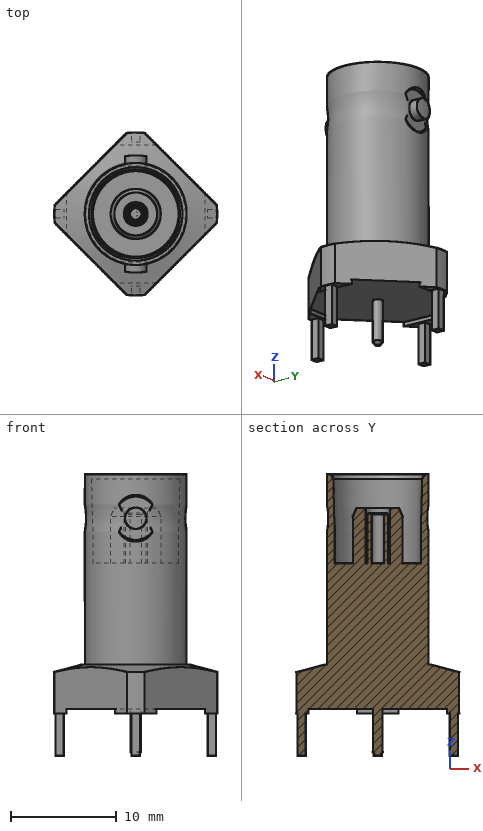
import cadquery as cq
import math

TOP_Z = 26.6
BASE_BOTTOM_Z = 4.0
BASE_TOP_Z = 8.65

BASE_SIDE = 12.0
BASE_TURN_ANGLE = 45.0
BASE_SPAN = 15.4
BASE_CORNER_RADIUS = BASE_SPAN / 2
BASE_CONE_TOP_RADIUS = 5.0
BASE_CONE_ANGLE = 15.0
RECESS_SIDE = 13.03
RECESS_DEPTH = 0.43

PIN_COUNT = 4
PIN_SIDE = 0.8
PIN_RADIAL_POSITION = 7.18
TAIL_RADIUS = 0.48
TAIL_TIP_RADIUS = 0.2
TAIL_TIP_HEIGHT = 0.35

BARREL_RADIUS = 4.81
GROOVE_MID_Z = 22.42
GROOVE_HALF_WIDTH = 1.28
GROOVE_DEPTH = 0.12

LUG_RADIUS = 1.0
LUG_REACH = 5.53
SPOT_FLOOR_Y = 4.55
SPOT_FLOOR_RADIUS = 2.05
SPOT_RIM_RADIUS = 2.2

MOUTH_RADIUS = 4.42
MOUTH_CHAMFER_RADIUS = 4.18
MOUTH_CHAMFER_DEPTH = 0.45
BORE_RADIUS = 4.05
BORE_TAPER_END_Z = 21.1
BORE_FLOOR_Z = 18.2

POST_RADIUS = 2.37
POST_TOP_RADIUS = 2.02
POST_TOP_Z = 23.4
POST_CHAMFER_HEIGHT = 0.8
POST_HOLE_RADIUS = 1.12
CONTACT_RADIUS = 0.98
CONTACT_TIP_RADIUS = 0.88
CONTACT_HOLE_RADIUS = 0.55
CONTACT_COUNTERSINK_RADIUS = 0.72
CONTACT_TIP_HEIGHT = 0.15
CONTACT_TOP_Z = 22.93


def cylinder(radius, bottom_z, top_z):
    """Upright cylinder on the Z axis."""
    return cq.Workplane("XY").workplane(offset=bottom_z).circle(radius).extrude(top_z - bottom_z)


def turned(points):
    """Solid of revolution about Z from (radius, z) points."""
    return cq.Workplane("XZ").polyline(points).close().revolve(360, (0, 0), (0, 1))


def make_base():
    cone_drop = (BASE_CORNER_RADIUS - BASE_CONE_TOP_RADIUS) * math.tan(math.radians(BASE_CONE_ANGLE))
    envelope = turned([
        (0, BASE_BOTTOM_Z),
        (BASE_CORNER_RADIUS, BASE_BOTTOM_Z),
        (BASE_CORNER_RADIUS, BASE_TOP_Z - cone_drop),
        (BASE_CONE_TOP_RADIUS, BASE_TOP_Z),
        (0, BASE_TOP_Z),
    ])
    height = BASE_TOP_Z - BASE_BOTTOM_Z
    block = cq.Workplane("XY").box(BASE_SIDE, BASE_SIDE, height, centered=(True, True, False))
    block = block.rotate((0, 0, 0), (0, 0, 1), BASE_TURN_ANGLE).translate((0, 0, BASE_BOTTOM_Z))
    recess = cq.Workplane("XY").box(RECESS_SIDE, RECESS_SIDE, RECESS_DEPTH, centered=(True, True, False))
    return block.intersect(envelope).cut(recess.translate((0, 0, BASE_BOTTOM_Z)))


def make_pins():
    pins = (
        cq.Workplane("XY")
        .polarArray(PIN_RADIAL_POSITION, 0, 360, PIN_COUNT)
        .rect(PIN_SIDE, PIN_SIDE)
        .extrude(BASE_BOTTOM_Z + RECESS_DEPTH)
    )
    tail = turned([
        (0, 0),
        (TAIL_TIP_RADIUS, 0),
        (TAIL_RADIUS, TAIL_TIP_HEIGHT),
        (TAIL_RADIUS, BASE_TOP_Z),
        (0, BASE_TOP_Z),
    ])
    return pins.union(tail)


def make_barrel():
    return (
        cq.Workplane("XZ")
        .moveTo(0, BASE_TOP_Z)
        .lineTo(BARREL_RADIUS, BASE_TOP_Z)
        .lineTo(BARREL_RADIUS, GROOVE_MID_Z - GROOVE_HALF_WIDTH)
        .threePointArc(
            (BARREL_RADIUS - GROOVE_DEPTH, GROOVE_MID_Z),
            (BARREL_RADIUS, GROOVE_MID_Z + GROOVE_HALF_WIDTH),
        )
        .lineTo(BARREL_RADIUS, TOP_Z)
        .lineTo(0, TOP_Z)
        .close()
        .revolve(360, (0, 0), (0, 1))
    )


def make_spot_face(side):
    """Tapered cutter for the lug seat; side is +1 for +Y and -1 for -Y."""
    depth = BARREL_RADIUS - SPOT_FLOOR_Y
    cutter = cq.Solid.makeCone(
        SPOT_FLOOR_RADIUS,
        SPOT_RIM_RADIUS,
        depth,
        cq.Vector(0, side * SPOT_FLOOR_Y, GROOVE_MID_Z),
        cq.Vector(0, side, 0),
    )
    return cq.Workplane(cutter)


def make_lugs():
    """Both lugs, with outer ends rounded about the barrel axis."""
    bar = (
        cq.Workplane("XZ", origin=(0, 0, GROOVE_MID_Z))
        .circle(LUG_RADIUS)
        .extrude(LUG_REACH, both=True)
    )
    return bar.intersect(cylinder(LUG_REACH, BASE_TOP_Z, TOP_Z))


def make_bore():
    return turned([
        (0, BORE_FLOOR_Z),
        (BORE_RADIUS, BORE_FLOOR_Z),
        (BORE_RADIUS, BORE_TAPER_END_Z),
        (MOUTH_CHAMFER_RADIUS, TOP_Z - MOUTH_CHAMFER_DEPTH),
        (MOUTH_RADIUS, TOP_Z),
        (0, TOP_Z),
    ])


def make_post():
    return turned([
        (POST_HOLE_RADIUS, BORE_FLOOR_Z),
        (POST_RADIUS, BORE_FLOOR_Z),
        (POST_RADIUS, POST_TOP_Z - POST_CHAMFER_HEIGHT),
        (POST_TOP_RADIUS, POST_TOP_Z),
        (POST_HOLE_RADIUS, POST_TOP_Z),
    ])


def make_contact():
    shoulder_z = CONTACT_TOP_Z - CONTACT_TIP_HEIGHT
    return turned([
        (CONTACT_HOLE_RADIUS, BORE_FLOOR_Z),
        (CONTACT_RADIUS, BORE_FLOOR_Z),
        (CONTACT_RADIUS, shoulder_z),
        (CONTACT_TIP_RADIUS, CONTACT_TOP_Z),
        (CONTACT_COUNTERSINK_RADIUS, CONTACT_TOP_Z),
        (CONTACT_HOLE_RADIUS, shoulder_z),
    ])


barrel = make_barrel()
for lug_side in (1, -1):
    barrel = barrel.cut(make_spot_face(lug_side))

body = barrel.union(make_lugs()).cut(make_bore())
body = body.union(make_post()).union(make_contact())
result = body.union(make_base()).union(make_pins())